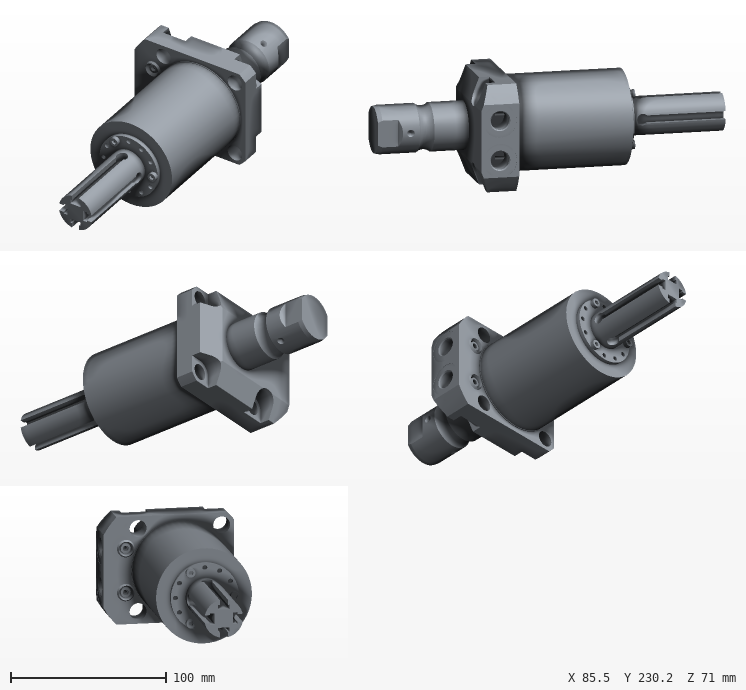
import cadquery as cq
import math


flange_thickness = 25.0
flange_half = 35.5
flange_left = 50.0
port_face_half = 24.2
left_corner_x = 41.7
left_corner_bulge = 0.5
right_corner_radius = 47.0
bevel_start = 20.0
bevel_drop = 6.0

barrel_radius = 62.9 / 2
barrel_length = 80.0
collar_radius = 31.8
collar_length = 0.7

mount_offset = 27.5
mount_hole_diameter = 11.0
head_pocket_width = 17.3
head_pocket_floor = flange_thickness / 2

port_z = 13.1
port_y = flange_thickness / 2
port_radius = 6.0
port_chamfer = 0.7
spotface_radius = 11.0
spotface_depth = 0.2
valve_x = -35.5
valve_z = 14.5
valve_base_radius = 5.8
valve_rim_radius = 4.8
valve_height = 1.4
valve_groove_radius = 3.7
valve_groove_depth = 3.5
valve_post_radius = 3.2
valve_post_drop = 1.5
valve_socket_radius = 1.8
valve_socket_depth = 2.3
passage_radius = 1.2

rod_radius = 32.0 / 2
rod_length = 59.6
rod_end_chamfer_length = 3.0
rod_end_chamfer_height = 0.7
groove_start = 27.2
groove_width = 9.7
groove_depth = 1.8
flat_half_width = 13.4
flat_length = 13.4
dimple_from_end = 21.2
dimple_radius = 2.5
dimple_count = 3

disc_radius = 22.3
disc_thickness = 3.0
tube_radius = 12.7
tube_length = 62.6
bolt_circle_radius = 19.3
bolt_position_count = 12
screw_count = 3
bolt_hole_radius = 1.5
screw_head_radius = 3.0
screw_head_height = 2.8
screw_socket_size = 3.2
screw_socket_depth = 1.8
slot_count = 4
slot_mouth_width = 5.3
slot_inner_width = 7.5
slot_floor = 6.0
slot_lip = 9.0
slot_entry_offset = 7.8

rod_end_y = flange_thickness + rod_length
barrel_front_y = -barrel_length
disc_front_y = barrel_front_y - disc_thickness
tube_end_y = disc_front_y - tube_length
margin = 2.3


def cylinder(start, direction, radius, length):
    return cq.Workplane(cq.Solid.makeCylinder(radius, length, cq.Vector(*start), cq.Vector(*direction)))


def cone(start, direction, start_radius, end_radius, length):
    return cq.Workplane(
        cq.Solid.makeCone(start_radius, end_radius, length, cq.Vector(*start), cq.Vector(*direction))
    )


def block(x_range, y_range, z_range):
    sizes = [high - low for low, high in (x_range, y_range, z_range)]
    corner = cq.Vector(x_range[0], y_range[0], z_range[0])
    return cq.Workplane(cq.Solid.makeBox(*sizes, corner))


def around_y(shape, angle):
    return shape.rotate((0, 0, 0), (0, 1, 0), angle)


def flange_blank():
    right_edge = math.sqrt(right_corner_radius**2 - flange_half**2)
    right_mid = right_corner_radius / math.sqrt(2)
    return (
        cq.Workplane("XZ")
        .moveTo(-flange_left, -port_face_half)
        .lineTo(-flange_left, port_face_half)
        .sagittaArc((-left_corner_x, flange_half), left_corner_bulge)
        .lineTo(right_edge, flange_half)
        .threePointArc((right_mid, right_mid), (flange_half, right_edge))
        .lineTo(flange_half, -right_edge)
        .threePointArc((right_mid, -right_mid), (right_edge, -flange_half))
        .lineTo(-left_corner_x, -flange_half)
        .sagittaArc((-flange_left, -port_face_half), left_corner_bulge)
        .close()
        .extrude(-flange_thickness)
    )


def rear_bevel():
    """Wedge that slopes off the rear edge of the flange on its +X side."""
    run = flange_half - bevel_start
    return (
        cq.Workplane("XY")
        .moveTo(bevel_start, flange_thickness)
        .lineTo(bevel_start + 2 * run, flange_thickness - 2 * bevel_drop)
        .lineTo(bevel_start + 2 * run, flange_thickness)
        .close()
        .extrude(2 * flange_left, both=True)
    )


def mounting_hole(side_x, side_z):
    """Through hole and a screw-head pocket that is open to the outside of the flange."""
    x = side_x * mount_offset
    z = side_z * mount_offset
    radius = head_pocket_width / 2
    y_range = (head_pocket_floor, flange_thickness)
    pocket_length = y_range[1] - y_range[0]
    z_outer = side_z * flange_left
    pocket = cylinder((x, y_range[0], z), (0, 1, 0), radius, pocket_length)
    pocket = pocket.union(block((x - radius, x + radius), y_range, sorted((z, z_outer))))
    if side_x > 0:
        z_inner = z - side_z * radius
        pocket = pocket.union(block((x, flange_left), y_range, sorted((z_inner, z_outer))))
    hole = cylinder((x, 0, z), (0, 1, 0), mount_hole_diameter / 2, flange_thickness)
    return pocket.union(hole)


def port(side_z):
    """Blind port from the left face, with a chamfered mouth and a shallow spotface."""
    z = side_z * port_z
    depth = flange_left + valve_x
    mouth_x = -flange_left + spotface_depth
    bore = cylinder((-flange_left, port_y, z), (1, 0, 0), port_radius, depth)
    spotface = cylinder((-flange_left, port_y, z), (1, 0, 0), spotface_radius, spotface_depth)
    chamfer = cone((mouth_x, port_y, z), (1, 0, 0), port_radius + port_chamfer, port_radius, port_chamfer)
    return bore.union(spotface).union(chamfer)


def valve_boss(side_z):
    start = (valve_x, 0, side_z * valve_z)
    return cone(start, (0, -1, 0), valve_base_radius, valve_rim_radius, valve_height)


def valve_recess(side_z):
    """Tapered recess around a central post that has a round socket and a narrow passage to the port."""
    z = side_z * valve_z
    floor_y = -valve_height + valve_groove_depth
    post_y = -valve_height + valve_post_drop
    recess = cone(
        (valve_x, -valve_height, z), (0, 1, 0), valve_rim_radius, valve_groove_radius, valve_groove_depth
    )
    post = cylinder((valve_x, post_y, z), (0, 1, 0), valve_post_radius, floor_y - post_y)
    socket = cylinder((valve_x, post_y, z), (0, 1, 0), valve_socket_radius, valve_socket_depth)
    passage = cylinder((valve_x, post_y, z), (0, 1, 0), passage_radius, port_y - post_y)
    return recess.cut(post).union(socket).union(passage)


def make_housing():
    body = flange_blank()
    for angle in (-90, 0, 90):
        body = body.cut(around_y(rear_bevel(), angle))
    body = body.union(cylinder((0, 0, 0), (0, -1, 0), barrel_radius, barrel_length))
    body = body.union(cylinder((0, 0, 0), (0, -1, 0), collar_radius, collar_length))
    for side_z in (-1, 1):
        for side_x in (-1, 1):
            body = body.cut(mounting_hole(side_x, side_z))
        body = body.cut(port(side_z))
        body = body.union(valve_boss(side_z))
        body = body.cut(valve_recess(side_z))
    return body


def rod_blank():
    """Turned rod with a tapered end and a round-bottomed neck groove."""
    groove_rear_y = rod_end_y - groove_start
    groove_front_y = groove_rear_y - groove_width
    groove_mid_y = (groove_rear_y + groove_front_y) / 2
    return (
        cq.Workplane("XY")
        .moveTo(0, flange_thickness)
        .lineTo(rod_radius, flange_thickness)
        .lineTo(rod_radius, groove_front_y)
        .threePointArc((rod_radius - groove_depth, groove_mid_y), (rod_radius, groove_rear_y))
        .lineTo(rod_radius, rod_end_y - rod_end_chamfer_length)
        .lineTo(rod_radius - rod_end_chamfer_height, rod_end_y)
        .lineTo(0, rod_end_y)
        .close()
        .revolve(360, (0, 0, 0), (0, 1, 0))
    )


def wrench_flat():
    """Cutter for the +X wrench flat, which runs out of the rod at 45 degrees."""
    flat_y = rod_end_y - flat_length
    runout = rod_radius + margin - flat_half_width
    return (
        cq.Workplane("XY")
        .moveTo(flat_half_width, rod_end_y)
        .lineTo(flat_half_width, flat_y)
        .lineTo(flat_half_width + runout, flat_y - runout)
        .lineTo(flat_half_width + runout, rod_end_y)
        .close()
        .extrude(rod_radius, both=True)
    )


def make_rod():
    body = rod_blank()
    for angle in (0, 180):
        body = body.cut(around_y(wrench_flat(), angle))
    dimple = cone((-rod_radius, rod_end_y - dimple_from_end, 0), (1, 0, 0), dimple_radius, 0, dimple_radius)
    for index in range(dimple_count):
        body = body.cut(around_y(dimple, index * 360 / dimple_count))
    return body


def sensor_slot():
    """T-slot along the top of the tube, open at the tube end and round at the disc end."""
    entry_y = disc_front_y - slot_entry_offset
    y_range = (tube_end_y, entry_y)
    mouth_half = slot_mouth_width / 2
    inner_half = slot_inner_width / 2
    top_z = tube_radius + margin
    inner = block((-inner_half, inner_half), y_range, (slot_floor, slot_lip))
    mouth = block((-mouth_half, mouth_half), y_range, (slot_floor, top_z))
    entry = cylinder((0, entry_y, slot_floor), (0, 0, 1), inner_half, top_z - slot_floor)
    return inner.union(mouth).union(entry)


def screw_head():
    head = cylinder((bolt_circle_radius, disc_front_y, 0), (0, -1, 0), screw_head_radius, screw_head_height)
    head_y = disc_front_y - screw_head_height
    socket_plane = cq.Workplane("XZ", origin=(bolt_circle_radius, head_y, 0))
    return head.cut(socket_plane.polygon(6, screw_socket_size).extrude(-screw_socket_depth))


def make_sensor_tube():
    body = cylinder((0, barrel_front_y, 0), (0, -1, 0), disc_radius, disc_thickness)
    body = body.union(cylinder((0, disc_front_y, 0), (0, -1, 0), tube_radius, tube_length))
    for index in range(slot_count):
        body = body.cut(around_y(sensor_slot(), index * 360 / slot_count))
    hole_start = (bolt_circle_radius, barrel_front_y, 0)
    bolt_hole = cylinder(hole_start, (0, -1, 0), bolt_hole_radius, disc_thickness)
    holes_per_screw = bolt_position_count // screw_count
    for index in range(bolt_position_count):
        angle = index * 360 / bolt_position_count
        if index % holes_per_screw == 0:
            body = body.union(around_y(screw_head(), angle))
        else:
            body = body.cut(around_y(bolt_hole, angle))
    return body


housing = make_housing()
rod = make_rod()
sensor_tube = make_sensor_tube()

result = cq.Compound.makeCompound([housing.val(), rod.val(), sensor_tube.val()])